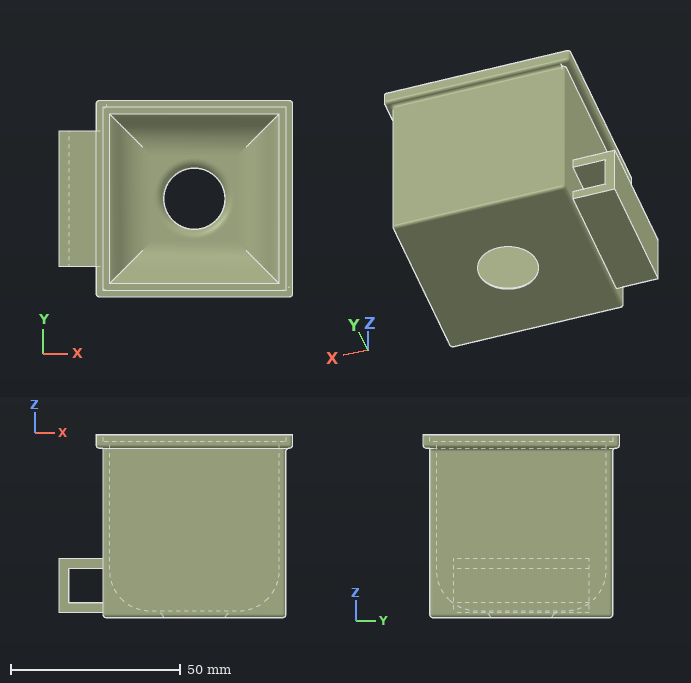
import cadquery as cq
import math

BODY_SIZE = 54.0
WALL = 2.0
TOTAL_HEIGHT = 54.0
EDGE_RADIUS = 1.0
FLOOR_THICKNESS = 2.0

RIM_OVERHANG = 2.0
RIM_SIZE = BODY_SIZE + 2 * RIM_OVERHANG
RIM_HEIGHT = 4.0
RIM_BOTTOM = TOTAL_HEIGHT - RIM_HEIGHT
LEDGE_DEPTH = 2.0
FLARE_RADIUS = 1.0

CAVITY_SIZE = BODY_SIZE - 2 * WALL
CAVITY_FLOOR_RADIUS = 12.0
DRAIN_DIAMETER = 18.0
DRAIN_LIP_RADIUS = 3.0

LOOP_REACH = 13.0
LOOP_HEIGHT = 16.0
LOOP_LENGTH = 40.0
LOOP_WALL = 3.0
LOOP_BOTTOM = 1.5


def square_block(size, bottom, height):
    """Square block centred on the Z axis, standing on the given level."""
    return cq.Workplane("XY").workplane(offset=bottom).rect(size, size).extrude(height)


def wall_corner(x, y):
    """Selector for the vertical body edge at a corner."""
    return cq.selectors.NearestToPointSelector((x, y, RIM_BOTTOM / 2))


def make_corner_trim():
    """Cutter that rounds the -X+Y corner and ends the +Y flare square at that corner."""
    reach = RIM_OVERHANG + EDGE_RADIUS
    trim = cq.Workplane("XY").box(reach, reach, RIM_BOTTOM, centered=False).translate((-reach, 0, 0))
    trim = trim.cut(cq.Workplane("XY").circle(EDGE_RADIUS).extrude(RIM_BOTTOM))
    arc_centre = BODY_SIZE / 2 - EDGE_RADIUS
    return trim.translate((-arc_centre, arc_centre, 0))


def make_body():
    """Rounded solid tub up to the rim, flared out under the rim on the +X and +Y walls only."""
    half = BODY_SIZE / 2
    body = square_block(BODY_SIZE, 0, TOTAL_HEIGHT)
    overhang_size = BODY_SIZE + RIM_OVERHANG
    overhang = cq.Workplane("XY").box(overhang_size, overhang_size, RIM_HEIGHT, centered=False)
    body = body.union(overhang.translate((-half, -half, RIM_BOTTOM)))
    for side in (-half, half):
        body = body.edges(wall_corner(side, side)).fillet(EDGE_RADIUS)
    flare_edge = cq.selectors.NearestToPointSelector((half, 0, RIM_BOTTOM))
    body = body.edges(flare_edge).fillet(FLARE_RADIUS)
    body = body.edges(wall_corner(half, -half)).fillet(EDGE_RADIUS)
    body = body.intersect(square_block(RIM_SIZE, 0, RIM_BOTTOM)).cut(make_corner_trim())
    return body.faces("<Z").edges().fillet(EDGE_RADIUS)


def make_rim():
    """Wider rim with rounded vertical and bottom edges."""
    rim = square_block(RIM_SIZE, RIM_BOTTOM, RIM_HEIGHT).edges("|Z").fillet(EDGE_RADIUS)
    return rim.faces("<Z").edges().fillet(EDGE_RADIUS)


def make_cavity():
    """Inside of the tub: ledge recess above a pocket with a deeply rounded floor."""
    ledge_level = TOTAL_HEIGHT - LEDGE_DEPTH
    recess = square_block(BODY_SIZE, ledge_level, LEDGE_DEPTH)
    pocket = square_block(CAVITY_SIZE, FLOOR_THICKNESS, TOTAL_HEIGHT - FLOOR_THICKNESS)
    pocket = pocket.faces("<Z").edges().fillet(CAVITY_FLOOR_RADIUS)
    return pocket.union(recess)


def make_drain():
    """Drain hole whose wall is an arc, tangent to the cavity floor and cut off by the underside."""
    radius = DRAIN_DIAMETER / 2
    arc_centre_drop = DRAIN_LIP_RADIUS - FLOOR_THICKNESS
    lip_width = math.sqrt(DRAIN_LIP_RADIUS**2 - arc_centre_drop**2)
    return (cq.Workplane("XZ")
            .lineTo(radius, 0)
            .radiusArc((radius + lip_width, FLOOR_THICKNESS), DRAIN_LIP_RADIUS)
            .lineTo(0, FLOOR_THICKNESS)
            .close()
            .revolve(360, (0, 0, 0), (0, 1, 0)))


def make_loop():
    """U-shaped loop, open at both Y ends, closed off by the -X wall."""
    outer = cq.Workplane("XY").box(LOOP_REACH, LOOP_LENGTH, LOOP_HEIGHT)
    opening = cq.Workplane("XY").box(LOOP_REACH, LOOP_LENGTH, LOOP_HEIGHT - 2 * LOOP_WALL)
    loop = outer.cut(opening.translate((LOOP_WALL, 0, 0)))
    return loop.translate((-(BODY_SIZE + LOOP_REACH) / 2, 0, LOOP_BOTTOM + LOOP_HEIGHT / 2))


outside = make_body().union(make_rim()).union(make_loop())
result = outside.cut(make_cavity()).cut(make_drain())